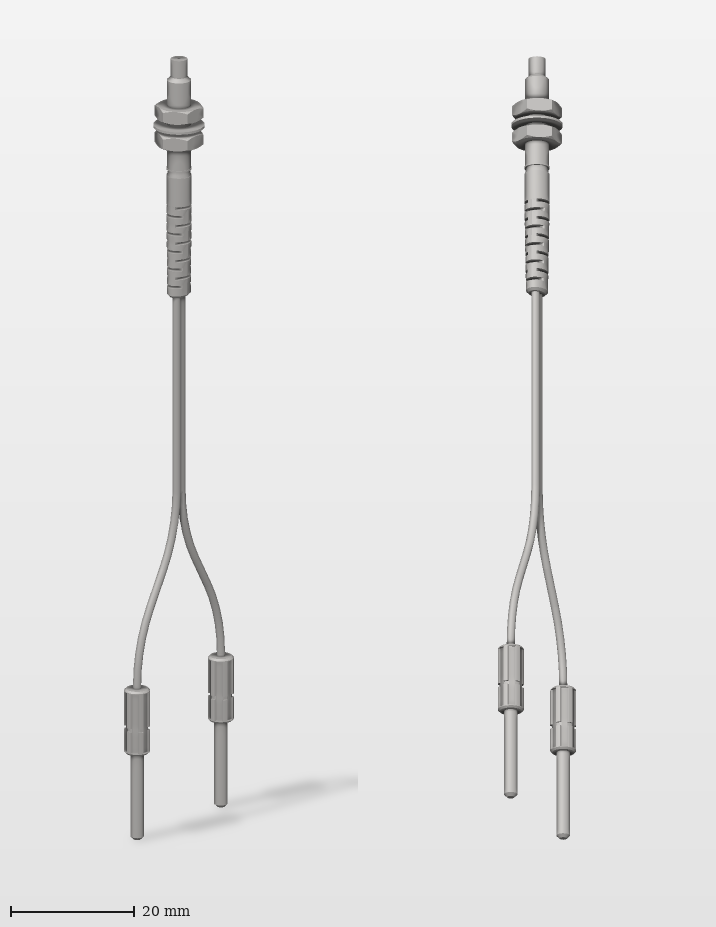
import cadquery as cq
import math


tip_radius = 1.35
tip_length = 3.0
tip_cone_length = 0.6
tip_bore_diameter = 0.5
tip_bore_depth = 1.0
shank_radius = 1.95
collar_top = -18.58
collar_thickness = 0.25
collar_groove_radius = 1.75
sleeve_top = -19.85
sleeve_radius = 2.05

boot_top = -24.73
boot_bottom = -40.4
boot_end_radius_x = 1.68
boot_end_radius_y = 2.2
boot_chamfer = 0.4
slot_count = 5
slot_height = 0.5
slot_pitch = 3.0
web_width_x = 1.56
web_width_y = 1.9
side_slot_top_level = boot_top - slot_height / 2
face_slot_top_level = side_slot_top_level - slot_pitch / 2

nut_across_flats = 7.0
nut_height = 2.2
nut_chamfer_angle = math.radians(30)
upper_nut_bottom = -10.15
lower_nut_bottom = -14.7
washer_bottom = -11.6
washer_thickness = 0.4
washer_diameter = 8.3

overall_length = 130.62
overall_depth = 25.3
plug_diameter = 4.2
plug_top = -104.85
plug_length = 11.0
plug_chamfer = 0.3
plug_offset = (overall_depth - plug_diameter) / 2
ring_groove_depth = 0.3
ring_groove_height = 0.6
ring_groove_level = -111.52
flute_count = 6
flute_floor_width = 0.9
flute_mouth_width = 1.7
flute_depth = 0.42
flute_end_land = 0.4
pin_radius = 1.1
pin_chamfer = 0.5

cable_diameter = 1.32
core_offset = 0.65
split_level = -73.8
bend_radius = 25.0
bend_angle = math.radians(30)


def revolve_profile(points):
    """Turn an outline of (radius, Z) points about the Z axis."""
    return cq.Workplane("XZ").polyline(points).close().revolve(360, (0, 0, 0), (0, 1, 0))


def make_head():
    """Tip, shank, collar and sleeve as one turned shape with a tip bore."""
    cone_bottom = -tip_length - tip_cone_length
    collar_bottom = collar_top - collar_thickness
    head = revolve_profile([
        (0, 0),
        (tip_radius, 0),
        (tip_radius, -tip_length),
        (shank_radius, cone_bottom),
        (shank_radius, collar_top),
        (sleeve_radius, collar_top),
        (sleeve_radius, collar_bottom),
        (collar_groove_radius, collar_bottom),
        (shank_radius, sleeve_top),
        (sleeve_radius, sleeve_top),
        (sleeve_radius, boot_top),
        (0, boot_top),
    ])
    bore = cq.Workplane("XY").circle(tip_bore_diameter / 2).extrude(-tip_bore_depth)
    return head.cut(bore)


def make_boot():
    """Boot that runs from the round sleeve to an oval, chamfered lower end."""
    boot = (
        cq.Workplane("XY")
        .workplane(offset=boot_top)
        .ellipse(sleeve_radius, sleeve_radius)
        .workplane(offset=boot_bottom - boot_top)
        .ellipse(boot_end_radius_x, boot_end_radius_y)
        .loft()
    )
    boot = boot.faces("<Z").chamfer(boot_chamfer)
    return cut_boot_slots(boot)


def cut_boot_slots(boot):
    """Cut pairs of slots by turns into the X and the Y sides, leaving a central web."""
    slot_length = 3 * sleeve_radius
    side_centre = web_width_x / 2 + sleeve_radius
    face_centre = web_width_y / 2 + sleeve_radius
    for index in range(slot_count):
        side_level = side_slot_top_level - index * slot_pitch
        face_level = face_slot_top_level - index * slot_pitch
        for side in (-1, 1):
            side_slot = cq.Workplane("XY").box(2 * sleeve_radius, slot_length, slot_height)
            face_slot = cq.Workplane("XY").box(slot_length, 2 * sleeve_radius, slot_height)
            boot = boot.cut(side_slot.translate((side * side_centre, 0, side_level)))
            boot = boot.cut(face_slot.translate((0, side * face_centre, face_level)))
    return boot


def make_cable(side):
    """One core: straight from the boot, two opposed bends, straight into its plug."""
    bend_out = bend_radius * (1 - math.cos(bend_angle))
    bend_drop = bend_radius * math.sin(bend_angle)
    middle_out = plug_offset - core_offset - 2 * bend_out
    middle_drop = middle_out / math.tan(bend_angle)
    half_out = bend_radius * (1 - math.cos(bend_angle / 2))
    half_drop = bend_radius * math.sin(bend_angle / 2)

    first_bend_end = (core_offset + bend_out, split_level - bend_drop)
    second_bend_start = (first_bend_end[0] + middle_out, first_bend_end[1] - middle_drop)
    second_bend_end = (plug_offset, second_bend_start[1] - bend_drop)
    first_bend_middle = (core_offset + half_out, split_level - half_drop)
    second_bend_middle = (plug_offset - half_out, second_bend_end[1] + half_drop)

    path = (
        cq.Workplane("YZ")
        .moveTo(core_offset, boot_bottom + boot_chamfer)
        .lineTo(core_offset, split_level)
        .threePointArc(first_bend_middle, first_bend_end)
        .lineTo(*second_bend_start)
        .threePointArc(second_bend_middle, second_bend_end)
        .lineTo(plug_offset, plug_top - plug_chamfer)
    )
    start = cq.Workplane("XY").workplane(offset=boot_bottom + boot_chamfer)
    cable = start.center(0, core_offset).circle(cable_diameter / 2).sweep(path)
    if side < 0:
        cable = cable.mirror("XZ")
    return cable


def make_plug(side):
    """Fluted plug with a ring groove and a chamfered pin."""
    radius = plug_diameter / 2
    groove_radius = radius - ring_groove_depth
    groove_top = ring_groove_level + ring_groove_height / 2
    groove_bottom = ring_groove_level - ring_groove_height / 2
    plug_bottom = plug_top - plug_length
    plug = revolve_profile([
        (0, plug_top),
        (radius - plug_chamfer, plug_top),
        (radius, plug_top - plug_chamfer),
        (radius, groove_top),
        (groove_radius, groove_top),
        (groove_radius, groove_bottom),
        (radius, groove_bottom),
        (radius, plug_bottom + plug_chamfer),
        (radius - plug_chamfer, plug_bottom),
        (pin_radius, plug_bottom),
        (pin_radius, -overall_length + pin_chamfer),
        (pin_radius - pin_chamfer, -overall_length),
        (0, -overall_length),
    ])
    flute_floor_radius = radius - flute_depth
    floor_half = flute_floor_width / 2
    mouth_half = flute_mouth_width / 2
    flute = (
        cq.Workplane("XY")
        .workplane(offset=plug_bottom + flute_end_land)
        .polyline([
            (flute_floor_radius, -floor_half),
            (flute_floor_radius, floor_half),
            (radius, mouth_half),
            (radius, -mouth_half),
        ])
        .close()
        .extrude(plug_length - 2 * flute_end_land)
    )
    for index in range(flute_count):
        plug = plug.cut(flute.rotate((0, 0, 0), (0, 0, 1), index * 360 / flute_count))
    return plug.translate((0, side * plug_offset, 0))


def make_fibre_unit():
    """Head, boot, both cable cores and both plugs, joined as one body."""
    unit = make_head().union(make_boot())
    for side in (-1, 1):
        unit = unit.union(make_cable(side)).union(make_plug(side))
    return unit


def make_nut(bottom):
    """Hexagon nut, corners along Y, with both ends chamfered to the flats."""
    corner_radius = nut_across_flats / math.sqrt(3)
    flat_radius = nut_across_flats / 2
    chamfer_drop = (corner_radius - flat_radius) * math.tan(nut_chamfer_angle)
    hexagon = (
        cq.Workplane("XY")
        .polygon(6, 2 * corner_radius)
        .extrude(nut_height)
        .rotate((0, 0, 0), (0, 0, 1), 90)
    )
    chamfer_envelope = revolve_profile([
        (0, 0),
        (flat_radius, 0),
        (corner_radius, chamfer_drop),
        (corner_radius, nut_height - chamfer_drop),
        (flat_radius, nut_height),
        (0, nut_height),
    ])
    bore = cq.Workplane("XY").circle(shank_radius).extrude(nut_height)
    return hexagon.intersect(chamfer_envelope).cut(bore).translate((0, 0, bottom))


def make_washer():
    """Thin flat washer around the shank, between the nuts."""
    washer = cq.Workplane("XY").circle(washer_diameter / 2).circle(shank_radius).extrude(washer_thickness)
    return washer.translate((0, 0, washer_bottom))


fibre_unit = make_fibre_unit()
nuts = [make_nut(bottom) for bottom in (upper_nut_bottom, lower_nut_bottom)]
washer = make_washer()

result = cq.Compound.makeCompound([
    fibre_unit.val(),
    *[nut.val() for nut in nuts],
    washer.val(),
])